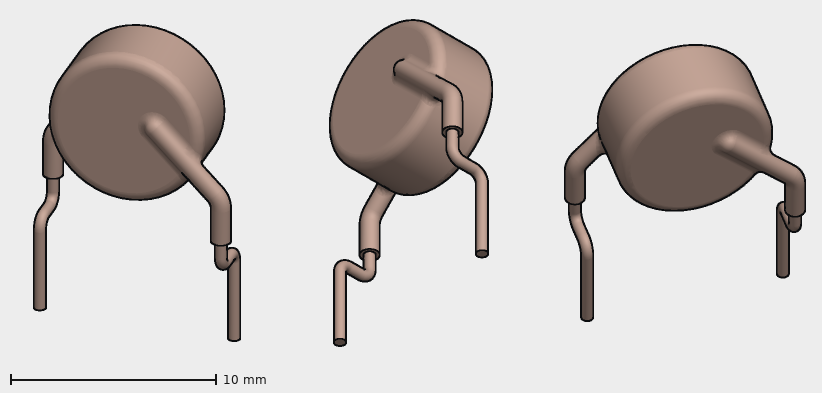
import cadquery as cq
import math

DISC_DIAMETER = 8.0
DISC_RADIUS = DISC_DIAMETER / 2
DISC_THICKNESS = 4.01
DISC_EDGE_FILLET = 0.6

SLEEVE_DIAMETER = 1.0
SLEEVE_RADIUS = SLEEVE_DIAMETER / 2
SLEEVE_BEND_RADIUS = 1.0
SLEEVE_TILT = 45.0
SLEEVE_BEND_START_Z = -3.42
SLEEVE_END_Z = -5.24
SLEEVE_TIP_X = 1.59
SLEEVE_ROOT_FILLET = 0.5

LEAD_PITCH = 10.0
LEAD_X = LEAD_PITCH / 2
LEAD_Y = -DISC_THICKNESS / 2
WIRE_DIAMETER = 0.61
WIRE_BEND_RADIUS = 0.6
WIRE_JOG_Z = -6.72
OVERALL_HEIGHT = 15.6
WIRE_BOTTOM_Z = DISC_RADIUS - OVERALL_HEIGHT

SIDE_ANGLES = (0, 180)

EDGE_SAMPLE_FRACTIONS = (0.2, 0.5, 0.8)
SURFACE_TOLERANCE = 0.0002


def turned_about_z(shape, angle):
    return shape.rotate((0, 0, 0), (0, 0, 1), angle)


def make_disc():
    return (
        cq.Workplane("XZ")
        .circle(DISC_RADIUS)
        .extrude(DISC_THICKNESS)
        .translate((0, DISC_THICKNESS / 2, 0))
        .edges()
        .fillet(DISC_EDGE_FILLET)
    )


def make_sleeve():
    """Round sleeve rising from its open end, bending inward to a ball-shaped tip."""
    tilt = math.radians(SLEEVE_TILT)
    half_tilt = tilt / 2
    bend_center_x = LEAD_X - SLEEVE_BEND_RADIUS
    bend_middle = (
        bend_center_x + SLEEVE_BEND_RADIUS * math.cos(half_tilt),
        SLEEVE_BEND_START_Z + SLEEVE_BEND_RADIUS * math.sin(half_tilt),
    )
    bend_top_x = bend_center_x + SLEEVE_BEND_RADIUS * math.cos(tilt)
    bend_top_z = SLEEVE_BEND_START_Z + SLEEVE_BEND_RADIUS * math.sin(tilt)
    tip_z = bend_top_z + (bend_top_x - SLEEVE_TIP_X) / math.tan(tilt)
    path = (
        cq.Workplane("XZ", origin=(0, LEAD_Y, 0))
        .moveTo(LEAD_X, SLEEVE_END_Z)
        .lineTo(LEAD_X, SLEEVE_BEND_START_Z)
        .threePointArc(bend_middle, (bend_top_x, bend_top_z))
        .lineTo(SLEEVE_TIP_X, tip_z)
    )
    tube = (
        cq.Workplane("XY", origin=(LEAD_X, LEAD_Y, SLEEVE_END_Z))
        .circle(SLEEVE_RADIUS)
        .sweep(path)
    )
    tip = cq.Workplane("XY", origin=(SLEEVE_TIP_X, LEAD_Y, tip_z)).sphere(SLEEVE_RADIUS)
    return tube.union(tip)


def lies_on_surface(edge, body):
    """True when points spread along the edge all touch the body's outer shell."""
    shell = body.val().Shells()[0]
    points = edge.positions(EDGE_SAMPLE_FRACTIONS)
    return all(cq.Vertex.makeVertex(*point.toTuple()).distance(shell) < SURFACE_TOLERANCE for point in points)


def make_coating():
    """Disc and both sleeves as one body, with a fillet where each sleeve meets the disc."""
    disc = make_disc()
    sleeves = [turned_about_z(make_sleeve(), angle) for angle in SIDE_ANGLES]
    coating = disc
    for sleeve in sleeves:
        coating = coating.union(sleeve)
    root_edges = [
        edge
        for edge in coating.edges().vals()
        if lies_on_surface(edge, disc) and any(lies_on_surface(edge, sleeve) for sleeve in sleeves)
    ]
    return coating.newObject(root_edges).fillet(SLEEVE_ROOT_FILLET)


def make_lead():
    """Wire that leaves the sleeve's end, jogs to the disc's middle plane and runs straight down."""
    jog_start_y = LEAD_Y + WIRE_BEND_RADIUS
    jog_end_y = -WIRE_BEND_RADIUS
    path = (
        cq.Workplane("YZ", origin=(LEAD_X, 0, 0))
        .moveTo(LEAD_Y, SLEEVE_END_Z)
        .lineTo(LEAD_Y, WIRE_JOG_Z + WIRE_BEND_RADIUS)
        .tangentArcPoint((jog_start_y, WIRE_JOG_Z), relative=False)
        .lineTo(jog_end_y, WIRE_JOG_Z)
        .tangentArcPoint((0, WIRE_JOG_Z - WIRE_BEND_RADIUS), relative=False)
        .lineTo(0, WIRE_BOTTOM_Z)
    )
    return (
        cq.Workplane("XY", origin=(LEAD_X, LEAD_Y, SLEEVE_END_Z))
        .circle(WIRE_DIAMETER / 2)
        .sweep(path)
    )


coating = make_coating()
leads = [turned_about_z(make_lead(), angle) for angle in SIDE_ANGLES]
result = cq.Compound.makeCompound([coating.val(), *[lead.val() for lead in leads]])